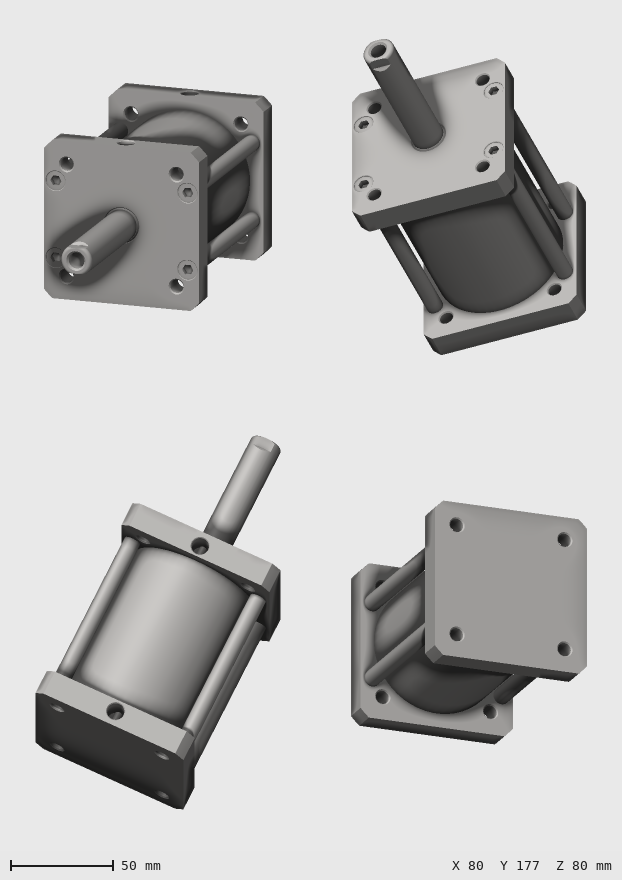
import cadquery as cq
import math


overall_length = 177

plate_width = 80.0
plate_corner_diameter = 107.0
front_plate_length = 12.5
rear_plate_length = 12.7

barrel_diameter = 66.0
barrel_bore = 63.0
barrel_length = 83.7

rod_diameter = 16.0
rod_overhang = overall_length - front_plate_length - barrel_length - rear_plate_length
rod_tip_fillet = 1.8
flat_width = 13.0
flat_length = 5.5
rod_hole_diameter = 8.0
rod_hole_mouth = 10.0
rod_hole_depth = 20.0

lip_recess_mouth = 18.4
lip_base_diameter = 17.7
lip_tip_diameter = 16.5
lip_height = 0.4

tie_diameter = 8.3
tie_x = 34.0
tie_z = 19.5
tie_counterbore = 10.0
tie_mouth = 10.5
tie_inset = 0.5
hex_flats = 5.0
hex_depth = 3.0

mount_diameter = 6.7
mount_mouth = 8.0
mount_offset = 28.3

port_diameter = 8.5
port_mouth = 9.4
port_depth = 14.2
port_inset = 7.0
port_pin_diameter = 4.0
port_pin_embed = 0.5

drill_tip_angle = 118

rear_plate_start = front_plate_length + barrel_length
cylinder_end = rear_plate_start + rear_plate_length
tie_places = [(x, z) for x in (-tie_x, tie_x) for z in (-tie_z, tie_z)]
mount_places = [(x, z) for x in (-mount_offset, mount_offset) for z in (-mount_offset, mount_offset)]


def disc(diameter, start, length, x=0, z=0):
    """Cylinder along +Y that begins at Y = start."""
    return cq.Workplane(cq.Solid.makeCylinder(
        diameter / 2, length, cq.Vector(x, start, z), cq.Vector(0, 1, 0)))


def cone(start_diameter, end_diameter, start, length, x=0, z=0, way=1):
    """Cone along Y from Y = start, towards +Y or, with way = -1, towards -Y."""
    return cq.Workplane(cq.Solid.makeCone(
        start_diameter / 2, end_diameter / 2, length, cq.Vector(x, start, z), cq.Vector(0, way, 0)))


def tip_height(diameter):
    """Height of the cone that a drill leaves at the bottom of a hole."""
    return diameter / 2 / math.tan(math.radians(drill_tip_angle / 2))


def countersink(mouth, diameter, start, x=0, z=0, way=1):
    """45 degree chamfer at the mouth of a hole."""
    return cone(mouth, diameter, start, (mouth - diameter) / 2, x, z, way)


def make_port(y):
    """Blind drilled hole that runs down from the top of a plate, with a chamfered mouth."""
    half_drill = port_diameter / 2
    half_mouth = port_mouth / 2
    profile = [
        (0, 0),
        (half_mouth, 0),
        (half_drill, half_drill - half_mouth),
        (half_drill, -port_depth),
        (0, -port_depth - tip_height(port_diameter)),
    ]
    port = cq.Workplane("XZ").polyline(profile).close().revolve(360, (0, 0), (0, 1))
    return port.translate((0, y, plate_width / 2))


def make_port_pin(y):
    """Round pin along Y that crosses the port just above its drill tip, with both ends set in the wall."""
    length = port_diameter + 2 * port_pin_embed
    return disc(port_pin_diameter, y - length / 2, length, 0, plate_width / 2 - port_depth)


def make_plate(start, length, port_y):
    plate = (
        cq.Workplane("XY").box(plate_width, length, plate_width)
        .translate((0, start + length / 2, 0))
        .intersect(disc(plate_corner_diameter, start, length))
    )
    for x, z in mount_places:
        plate = plate.cut(disc(mount_diameter, start, length, x, z))
        plate = plate.cut(countersink(mount_mouth, mount_diameter, start, x, z))
        plate = plate.cut(countersink(mount_mouth, mount_diameter, start + length, x, z, -1))
    plate = plate.cut(make_port(port_y))
    return plate.union(make_port_pin(port_y))


def make_front_plate():
    plate = make_plate(0, front_plate_length, port_inset)

    recess_depth = (lip_recess_mouth - lip_base_diameter) / 2
    plate = plate.cut(cone(lip_recess_mouth, lip_base_diameter, 0, recess_depth))
    lip_length = recess_depth + lip_height
    plate = plate.union(cone(lip_base_diameter, lip_tip_diameter, recess_depth, lip_length, way=-1))
    plate = plate.cut(disc(rod_diameter, -lip_height, front_plate_length + lip_height))
    for x, z in tie_places:
        plate = plate.cut(disc(tie_diameter, 0, front_plate_length, x, z))
        plate = plate.cut(disc(tie_counterbore, 0, tie_inset, x, z))
        plate = plate.cut(countersink(tie_mouth, tie_counterbore, 0, x, z))
    return plate


def make_rear_plate():
    return make_plate(rear_plate_start, rear_plate_length, cylinder_end - port_inset)


def make_barrel():
    outer = disc(barrel_diameter, front_plate_length, barrel_length)
    return outer.cut(disc(barrel_bore, front_plate_length, barrel_length))


def make_tie_rod(x, z):
    rod = disc(tie_diameter, tie_inset, rear_plate_start - tie_inset, x, z)
    corners = hex_flats / math.cos(math.pi / 6)
    drill = disc(corners, tie_inset, hex_depth, x, z).union(
        cone(corners, 0, tie_inset + hex_depth, tip_height(corners), x, z))
    hexagon = (
        cq.Workplane("XZ", origin=(x, tie_inset, z))
        .polygon(6, corners)
        .extrude(-hex_depth - tip_height(corners))
    )
    return rod.cut(drill.intersect(hexagon))


def make_piston_rod():
    tip = -rod_overhang
    rod = disc(rod_diameter, tip, rod_overhang + front_plate_length)
    rod = rod.faces("<Y").edges().fillet(rod_tip_fillet)

    rise = (rod_diameter - flat_width) / 2
    profile = [
        (tip, flat_width / 2),
        (tip + flat_length, flat_width / 2),
        (tip + flat_length + rise, rod_diameter / 2),
        (tip, rod_diameter / 2),
    ]
    flat = cq.Workplane("YZ").polyline(profile).close().extrude(rod_diameter / 2, both=True)
    rod = rod.cut(flat).cut(flat.mirror("XY"))

    rod = rod.cut(disc(rod_hole_diameter, tip, rod_hole_depth))
    rod = rod.cut(cone(rod_hole_diameter, 0, tip + rod_hole_depth, tip_height(rod_hole_diameter)))
    return rod.cut(countersink(rod_hole_mouth, rod_hole_diameter, tip))


front_plate = make_front_plate()
rear_plate = make_rear_plate()
barrel = make_barrel()
piston_rod = make_piston_rod()
tie_rods = [make_tie_rod(x, z) for x, z in tie_places]

result = cq.Compound.makeCompound(
    [front_plate.val(), rear_plate.val(), barrel.val(), piston_rod.val()] + [rod.val() for rod in tie_rods]
)